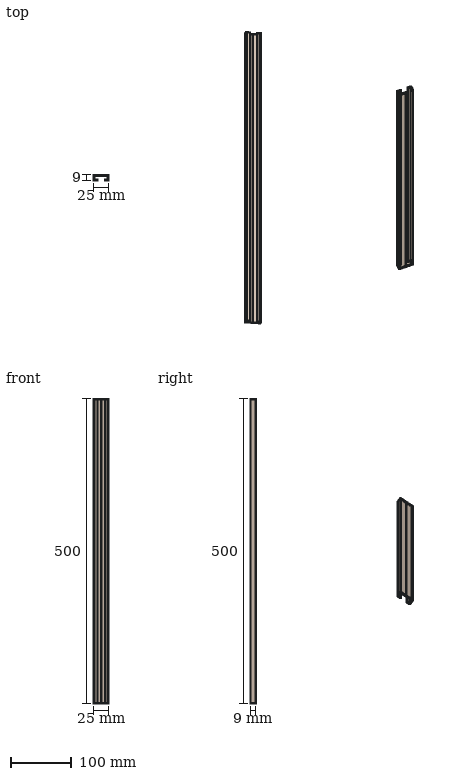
import cadquery as cq

LENGTH = 500.0
WIDTH = 25.0
DEPTH = 9.0
CORNER_RADIUS = 0.5

SIDE_WALL = 1.75
WEB = 1.5
LIP = 1.5

MOUTH_WIDTH = 12.0

GROOVE_WIDTH = 0.8
GROOVE_DEPTH = 0.4

BACK_Y = DEPTH / 2
FRONT_Y = -DEPTH / 2
WEB_INNER_Y = BACK_Y - WEB
LIP_INNER_Y = FRONT_Y + LIP


def full_length_bar(width, y_front, y_back):
    """Rectangular bar over the full length, centred on X = 0, between two Y levels."""
    y_middle = (y_front + y_back) / 2
    return cq.Workplane("XY").box(width, y_back - y_front, LENGTH).translate((0, y_middle, 0))


def outer_body():
    """Solid bar with all four long corners rounded."""
    return full_length_bar(WIDTH, FRONT_Y, BACK_Y).edges("|Z").fillet(CORNER_RADIUS)


def inner_cavity():
    """Space between the side walls, from the lips to the web."""
    return full_length_bar(WIDTH - 2 * SIDE_WALL, LIP_INNER_Y, WEB_INNER_Y)


def mouth_slot():
    """Opening between the lips, from the front face through to the web."""
    return full_length_bar(MOUTH_WIDTH, FRONT_Y, WEB_INNER_Y)


def centre_groove():
    """Small V groove along the middle of the web's inner face."""
    left_edge = (-GROOVE_WIDTH / 2, WEB_INNER_Y)
    right_edge = (GROOVE_WIDTH / 2, WEB_INNER_Y)
    bottom = (0, WEB_INNER_Y + GROOVE_DEPTH)
    return (
        cq.Workplane("XY")
        .polyline([left_edge, right_edge, bottom])
        .close()
        .extrude(LENGTH / 2, both=True)
    )


result = outer_body().cut(inner_cavity()).cut(mouth_slot()).cut(centre_groove())